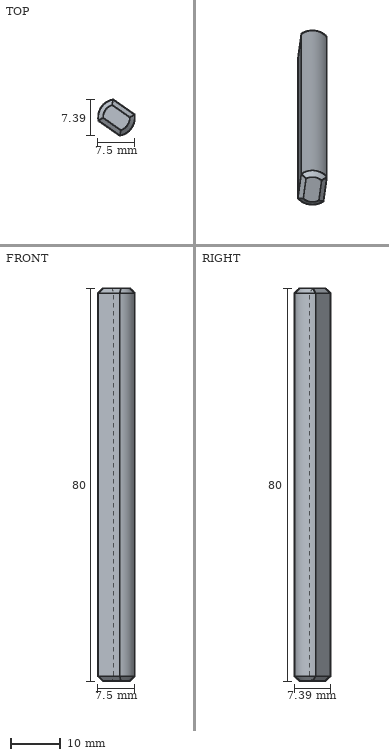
import cadquery as cq

length = 80.0
diameter = 7.5
across_flats = 5.3
end_chamfer = 1.0
flat_angle = -35.0


def make_pin():
    """Round bar trimmed to the distance across its two flats."""
    bar = cq.Workplane("XY").circle(diameter / 2).extrude(length)
    trim = cq.Workplane("XY").rect(diameter, across_flats).extrude(length)
    return bar.intersect(trim)


pin = make_pin().faces("<Z or >Z").edges().chamfer(end_chamfer)
centred_pin = pin.translate((0, 0, -length / 2))
result = centred_pin.rotate((0, 0, 0), (0, 0, 1), flat_angle)